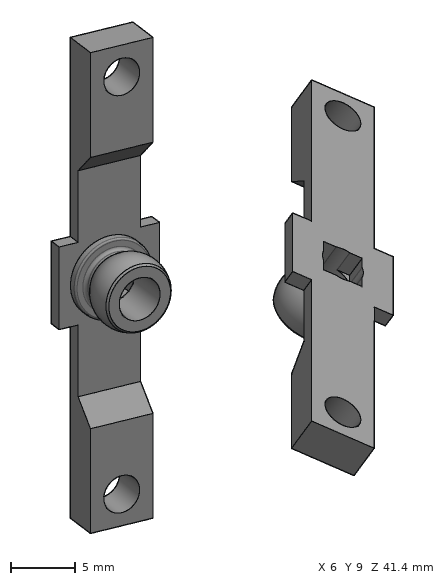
import cadquery as cq
import math

length = 41.4
strip_width = 5.6
end_thickness = 3.2
web_thickness = 1.25
thick_end_length = 9.03
ramp_run = end_thickness - web_thickness

plate_width = 9.0
plate_height = 7.12

collar_diameter = 6.95
collar_face = 2.0
collar_rounding = 0.15
neck_diameter = 5.0
neck_fillet = 0.3
ball_diameter = 6.38
ball_center = 4.55
stud_tip = 6.0
tip_chamfer = 0.15

mount_hole_diameter = 3.2
mount_hole_offset = 17.95
bore_diameter = 3.65
square_side = 3.45
square_depth = 2.0


def make_strip():
    """Bar with thick ends ramping down to a thin middle."""
    top = length / 2
    ramp_top = top - thick_end_length
    ramp_bottom = ramp_top - ramp_run
    return (
        cq.Workplane("XZ")
        .moveTo(0, -top)
        .lineTo(end_thickness, -top)
        .lineTo(end_thickness, -ramp_top)
        .lineTo(web_thickness, -ramp_bottom)
        .lineTo(web_thickness, ramp_bottom)
        .lineTo(end_thickness, ramp_top)
        .lineTo(end_thickness, top)
        .lineTo(0, top)
        .close()
        .extrude(strip_width / 2, both=True)
    )


def make_plate():
    """Rectangular plate widening the middle of the strip."""
    return cq.Workplane("XY").box(
        web_thickness, plate_width, plate_height, centered=(False, True, True)
    )


def make_stud():
    """Collar, filleted neck and truncated ball, revolved about X."""
    collar_radius = collar_diameter / 2
    neck_radius = neck_diameter / 2
    ball_radius = ball_diameter / 2
    neck_end = ball_center - math.sqrt(ball_radius**2 - neck_radius**2)
    ball_end = stud_tip - tip_chamfer
    ball_end_radius = math.sqrt(ball_radius**2 - (ball_end - ball_center) ** 2)
    return (
        cq.Workplane("XY")
        .lineTo(0, neck_radius)
        .lineTo(web_thickness, neck_radius)
        .lineTo(web_thickness, collar_radius)
        .lineTo(collar_face - collar_rounding, collar_radius)
        .radiusArc((collar_face, collar_radius - collar_rounding), collar_rounding)
        .lineTo(collar_face, neck_radius + neck_fillet)
        .radiusArc((collar_face + neck_fillet, neck_radius), -neck_fillet)
        .lineTo(neck_end, neck_radius)
        .threePointArc((ball_center, ball_radius), (ball_end, ball_end_radius))
        .lineTo(stud_tip, ball_end_radius - tip_chamfer)
        .lineTo(stud_tip, 0)
        .close()
        .revolve(360, (0, 0, 0), (1, 0, 0))
    )


def make_through_hole(diameter, height):
    """Cylinder along X through the whole part at the given Z."""
    return (
        cq.Workplane("YZ")
        .center(0, height)
        .circle(diameter / 2)
        .extrude(stud_tip)
    )


def make_square_pocket():
    """Square recess sunk from the back face."""
    return cq.Workplane("YZ").rect(square_side, square_side).extrude(square_depth)


result = make_strip().union(make_plate()).union(make_stud())
result = result.cut(make_through_hole(bore_diameter, 0)).cut(make_square_pocket())
for side in (-1, 1):
    result = result.cut(make_through_hole(mount_hole_diameter, side * mount_hole_offset))